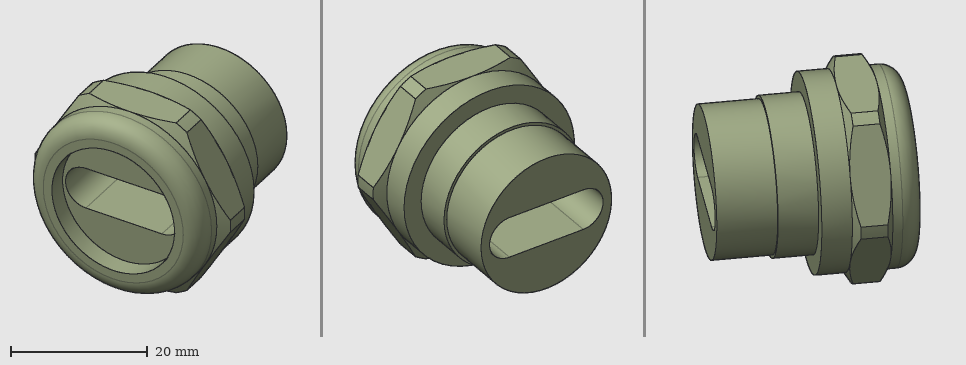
import cadquery as cq
import math

hex_start = 4.5
hex_end = 10.5
collar_end = 15.0
step_end = 21.0
total_length = 30.0

body_diameter = 30.0
step_diameter = 24.0
spigot_diameter = 23.0
hex_corner_diameter = 33.5
hex_across_flats = body_diameter
hex_full_diameter = hex_across_flats / math.cos(math.radians(30))
front_rounding = 3.0
hex_chamfer_length = 1.0

recess_diameter = 21.0
recess_depth = 3.0
slot_length = 20.0
slot_height = 7.0


def cylinder(diameter, start, end):
    """Solid cylinder on the Y axis between two axial positions."""
    plane = cq.Workplane("XZ", origin=(0, start, 0))
    return plane.circle(diameter / 2).extrude(start - end)


def make_body():
    """Round stepped body with a rounded front rim."""
    collar = cylinder(body_diameter, 0, collar_end).faces("<Y").edges().fillet(front_rounding)
    step = cylinder(step_diameter, collar_end, step_end)
    spigot = cylinder(spigot_diameter, step_end, total_length)
    return collar.union(step).union(spigot)


def make_hex():
    """Hexagon with corners on the X axis, trimmed by a double-chamfered disc."""
    prism = (
        cq.Workplane("XZ", origin=(0, hex_start, 0))
        .polygon(6, hex_full_diameter)
        .extrude(hex_start - hex_end)
    )
    flat_radius = hex_across_flats / 2
    corner_radius = hex_corner_diameter / 2
    trim = (
        cq.Workplane("XY")
        .moveTo(0, hex_start)
        .lineTo(flat_radius, hex_start)
        .lineTo(corner_radius, hex_start + hex_chamfer_length)
        .lineTo(corner_radius, hex_end - hex_chamfer_length)
        .lineTo(flat_radius, hex_end)
        .lineTo(0, hex_end)
        .close()
        .revolve(360, (0, 0, 0), (0, 1, 0))
    )
    return prism.intersect(trim)


def make_slot():
    """Round-ended slot, long along X, through the whole length."""
    return cq.Workplane("XZ").slot2D(slot_length, slot_height).extrude(-total_length)


recess = cylinder(recess_diameter, 0, recess_depth)
result = make_body().union(make_hex()).cut(recess).cut(make_slot())